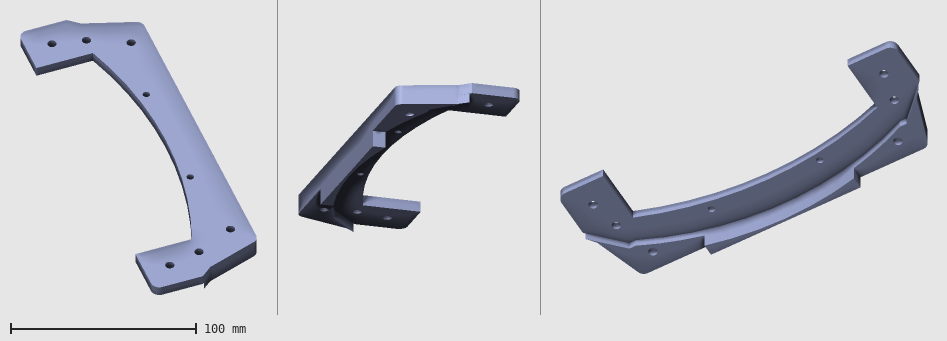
import cadquery as cq
import math

length = 208.5
depth = 65.9
height = 19.8
left_end = -length / 2
right_end = length / 2
back = depth / 2
front = -back

plate_thickness = 5.8
corner_radius = 4.8
back_corner_radius = 4.5
back_half_width = 88.5
shoulder_half_width = 99.0
shoulder_y = 1.5
flank_y = -4.8
leg_inner_x = 75.7
arch_end_y = -0.5
arch_crown_y = 13.0

middle_thickness = 5.0
inner_arc_radius = 198.0
rib_half_length = 46.3
rib_end_y = 25.9
arc_half_width = 82.0
flat_half_width = 85.9
tip_half_width = 103.2
tip_y = -3.8

mount_diameter = 5.0
mount_holes = [(75.9, 21.7), (86.0, -0.2), (90.0, -18.5)]
pin_diameter = 4.0
pin_hole_y = 15.5
pin_holes = [(-36.0, pin_hole_y), (31.0, pin_hole_y)]

top_z = height / 2
plate_bottom = top_z - plate_thickness
middle_bottom = plate_bottom - middle_thickness
bottom_z = -height / 2

arc_center_y = rib_end_y - math.sqrt(inner_arc_radius**2 - rib_half_length**2)
arc_crown_y = arc_center_y + inner_arc_radius


def arc_y(x):
    """Y of the shared inner arc at a given X."""
    return arc_center_y + math.sqrt(inner_arc_radius**2 - x**2)


def round_back_corners(body):
    corners = cq.selectors.BoxSelector(
        (left_end, back - 0.2, bottom_z), (right_end, back + 0.2, top_z)
    )
    return body.edges("|Z").edges(corners).fillet(back_corner_radius)


def make_plate():
    plate = (
        cq.Workplane("XY", origin=(0, 0, plate_bottom))
        .moveTo(-back_half_width, back)
        .lineTo(back_half_width, back)
        .lineTo(shoulder_half_width, shoulder_y)
        .lineTo(right_end, flank_y)
        .lineTo(right_end, front)
        .lineTo(leg_inner_x, front)
        .lineTo(leg_inner_x, arch_end_y)
        .threePointArc((0, arch_crown_y), (-leg_inner_x, arch_end_y))
        .lineTo(-leg_inner_x, front)
        .lineTo(left_end, front)
        .lineTo(left_end, flank_y)
        .lineTo(-shoulder_half_width, shoulder_y)
        .close()
        .extrude(plate_thickness)
    )
    outer_front_corners = plate.edges("|Z").edges("<X or >X").edges("<Y")
    plate = outer_front_corners.fillet(corner_radius)
    return round_back_corners(plate)


def make_middle():
    arc_end_y = arc_y(arc_half_width)
    middle = (
        cq.Workplane("XY", origin=(0, 0, middle_bottom))
        .moveTo(-back_half_width, back)
        .lineTo(back_half_width, back)
        .lineTo(shoulder_half_width, shoulder_y)
        .lineTo(tip_half_width, tip_y)
        .lineTo(flat_half_width, arc_end_y)
        .lineTo(arc_half_width, arc_end_y)
        .threePointArc((0, arc_crown_y), (-arc_half_width, arc_end_y))
        .lineTo(-flat_half_width, arc_end_y)
        .lineTo(-tip_half_width, tip_y)
        .lineTo(-shoulder_half_width, shoulder_y)
        .close()
        .extrude(middle_thickness)
    )
    return round_back_corners(middle)


def make_rib():
    return (
        cq.Workplane("XY", origin=(0, 0, bottom_z))
        .moveTo(-rib_half_length, back)
        .lineTo(rib_half_length, back)
        .lineTo(rib_half_length, rib_end_y)
        .threePointArc((0, arc_crown_y), (-rib_half_length, rib_end_y))
        .close()
        .extrude(middle_bottom - bottom_z)
    )


def drill(body, points, diameter):
    cutter = (
        cq.Workplane("XY", origin=(0, 0, bottom_z))
        .pushPoints(points)
        .circle(diameter / 2)
        .extrude(height)
    )
    return body.cut(cutter)


result = make_plate().union(make_middle()).union(make_rib())
both_sides = [(side * x, y) for side in (-1, 1) for x, y in mount_holes]
result = drill(result, both_sides, mount_diameter)
result = drill(result, pin_holes, pin_diameter)